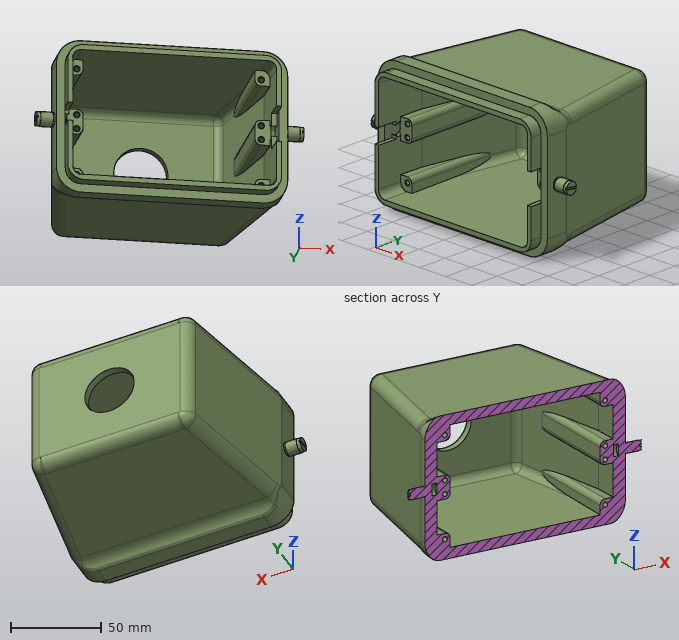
import cadquery as cq
import math


depth = 106.0
flange_start = 7.8
flange_end = 22.9

flange_width = 130.5
flange_height = 88.5
flange_radius = 13.9
lip_width = 120.6
lip_height = 78.9
lip_radius = flange_radius - (flange_width - lip_width) / 2
crest_radius = 2.1
root_radius = 9.7
root_end = 26.5
flare_angle = 65

back_width = 99.1
body_radius = 7.0

mouth_width = 114.9
knee_width = 113.4
knee_y = 34.0
floor_width = 89.9
mouth_height = 72.8
floor_height = 70.9
floor_y = 101.5
cavity_radius = 4.8
cable_hole_diameter = 30.5

post_tip_y = 17.3
post_inner_x = 48.5
post_edge_radius = 3.3
corner_post_z = 27.3
middle_post_height = 14.5
screw_x = 52.0
corner_screw_z = 30.9
middle_screw_z = 4.0
screw_hole_diameter = 2.7
screw_hole_depth = 12.0
screw_hole_chamfer = 0.5

left_notch_height = 10.5
right_notch_height = 20.7
notch_depth = 13.5

pin_span = 150.8
pin_y = 16.6
pin_radius = 4.2
pin_end_radius = 4.0
pin_tip_length = 2.3
pin_neck_length = 0.9
pin_slot_width = 1.2
pin_slot_depth = 0.8
pin_slot_angle = 7


def block(x_min, x_max, y_min, y_max, z_min, z_max):
    """Box given by its limits along each axis."""
    box = cq.Workplane("XY").box(x_max - x_min, y_max - y_min, z_max - z_min, centered=False)
    return box.translate((x_min, y_min, z_min))


def both_sides(right_side):
    """The given solid together with its mirror image at -X."""
    return right_side.union(right_side.mirror("YZ"))


def rounded_prism(width, height, radius, y_min, y_max):
    """Rounded rectangle in XZ, extruded along Y."""
    prism = cq.Workplane("XZ").rect(width, height).extrude(y_min - y_max)
    return prism.edges("|Y").fillet(radius).translate((0, y_min, 0))


def symmetric_plate(half_widths, height):
    """Plate centred on Z whose half width follows (half width, y) pairs."""
    right_side = list(half_widths)
    left_side = [(-x, y) for x, y in reversed(half_widths)]
    return cq.Workplane("XY").polyline(right_side + left_side).close().extrude(height / 2, both=True)


def side_silhouette():
    """YZ outline of the hood: straight body that flares in an arc towards the flange."""
    half_body = lip_height / 2
    arc_centre_z = half_body + root_radius

    def arc_point(angle):
        return (root_end - root_radius * math.sin(angle), arc_centre_z - root_radius * math.cos(angle))

    flare = math.radians(flare_angle)
    flare_start = arc_point(flare)
    front_half_height = flare_start[1] + (flare_start[0] - flange_start) * math.tan(flare)
    upper_half = (
        cq.Workplane("YZ")
        .moveTo(flange_start, 0)
        .lineTo(flange_start, front_half_height)
        .lineTo(*flare_start)
        .threePointArc(arc_point(flare / 2), arc_point(0))
        .lineTo(depth, half_body)
        .lineTo(depth, 0)
        .close()
        .extrude(flange_width, both=True)
    )
    return upper_half.union(upper_half.mirror("XY"))


def outer_body():
    """Tapered hood whose rounded side edges sweep up onto the flange shoulders."""
    side_slope = (flange_width - back_width) / 2 / (depth - flange_end)
    front_half_width = back_width / 2 + side_slope * (depth - flange_start)
    plan = symmetric_plate([(front_half_width, flange_start), (back_width / 2, depth)], 2 * flange_height)
    body = plan.intersect(side_silhouette())
    body = body.edges("not(|X or |Z)").fillet(body_radius)
    body = body.faces(">Y").edges().fillet(body_radius)
    return body.intersect(rounded_prism(flange_width, flange_height, flange_radius, flange_start, 2 * depth))


def crest_edges():
    """Selector for the long upper and lower edges where the flange shoulders begin."""
    crest_z = flange_height / 2
    drop_to_crest = root_radius - (flange_height - lip_height) / 2
    crest_y = root_end - math.sqrt(root_radius**2 - drop_to_crest**2)
    margin = 0.2
    upper = cq.selectors.BoxSelector(
        (-margin, crest_y - margin, crest_z - margin), (margin, crest_y + margin, crest_z + margin)
    )
    lower = cq.selectors.BoxSelector(
        (-margin, crest_y - margin, -crest_z - margin), (margin, crest_y + margin, margin - crest_z)
    )
    return upper + lower


def shell_outside():
    outside = outer_body().edges(crest_edges()).fillet(crest_radius)
    lip = rounded_prism(lip_width, lip_height, lip_radius, 0, flange_end)
    return outside.union(lip)


def cavity():
    plan = symmetric_plate(
        [(mouth_width / 2, 0), (knee_width / 2, knee_y), (floor_width / 2, floor_y)], mouth_height
    )
    side_profile = [
        (0, -mouth_height / 2),
        (floor_y, -floor_height / 2),
        (floor_y, floor_height / 2),
        (0, mouth_height / 2),
    ]
    side = cq.Workplane("YZ").polyline(side_profile).close().extrude(mouth_width, both=True)
    space = plan.intersect(side)
    space = space.edges("not(|X or |Z)").fillet(cavity_radius)
    return space.faces(">Y").edges().fillet(cavity_radius)


def posts():
    """Four corner posts and one middle post on each side wall, as long as the cavity."""
    wall_x = mouth_width / 2
    wall_z = mouth_height / 2
    post_end = depth - body_radius
    corner = block(post_inner_x, wall_x, post_tip_y, post_end, corner_post_z, wall_z)
    corner = corner.edges("|Y and <X and <Z").fillet(post_edge_radius)
    middle = block(
        post_inner_x, wall_x, post_tip_y, post_end, -middle_post_height / 2, middle_post_height / 2
    )
    middle = middle.edges("|Y and <X").fillet(post_edge_radius)
    return both_sides(middle.union(corner).union(corner.mirror("XY")))


def screw_holes():
    """Blind holes in the post tips with a small lead-in cone."""
    hole_radius = screw_hole_diameter / 2
    mouth_radius = hole_radius + screw_hole_chamfer
    profile = [
        (0, 0),
        (mouth_radius, 0),
        (hole_radius, screw_hole_chamfer),
        (hole_radius, screw_hole_depth),
        (0, screw_hole_depth),
    ]
    hole = cq.Workplane("XY").polyline(profile).close().revolve(360, (0, 0), (0, 1))
    holes = cq.Workplane("XY")
    for x in (-screw_x, screw_x):
        for z in (-corner_screw_z, -middle_screw_z, middle_screw_z, corner_screw_z):
            holes = holes.add(hole.translate((x, post_tip_y, z)))
    return holes.combine()


def lip_notches():
    half_left = left_notch_height / 2
    half_right = right_notch_height / 2
    left = block(-lip_width / 2, -knee_width / 2, 0, notch_depth, -half_left, half_left)
    right = block(knee_width / 2, lip_width / 2, 0, notch_depth, -half_right, half_right)
    return left.union(right)


def pin_bores():
    """Bores behind the pins, opening into the cavity."""
    inner_x = floor_width / 2
    bore = cq.Workplane("YZ").workplane(offset=inner_x).circle(pin_radius).extrude(lip_width / 2 - inner_x)
    return both_sides(bore.translate((0, pin_y, 0)))


def pins():
    """Pins on the flange ends, each with a slightly tilted screwdriver slot."""
    tip_x = pin_span / 2
    root_x = flange_width / 2
    shoulder_x = tip_x - pin_tip_length
    neck_x = root_x + pin_neck_length
    core = cq.Workplane("YZ").workplane(offset=root_x).circle(pin_end_radius).extrude(tip_x - root_x)
    sleeve = cq.Workplane("YZ").workplane(offset=neck_x).circle(pin_radius).extrude(shoulder_x - neck_x)
    slot = (
        cq.Workplane("YZ")
        .workplane(offset=tip_x - pin_slot_depth)
        .rect(4 * pin_radius, pin_slot_width)
        .extrude(pin_slot_depth)
        .rotate((0, 0, 0), (1, 0, 0), -pin_slot_angle)
    )
    pin = core.union(sleeve).cut(slot)
    return both_sides(pin.translate((0, pin_y, 0)))


def cable_hole():
    return cq.Workplane("XZ").circle(cable_hole_diameter / 2).extrude(-2 * depth)


outside = shell_outside()
result = outside.cut(cavity()).cut(pin_bores()).union(posts().intersect(outside))
result = result.cut(screw_holes()).cut(lip_notches()).cut(cable_hole()).union(pins())